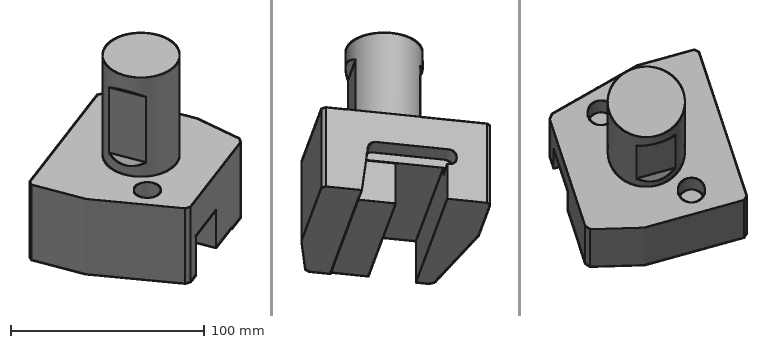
import cadquery as cq
import math


BLOCK_HALF_WIDTH = 42.5
BLOCK_BACK_Y = 41.0
BLOCK_FRONT_Y = -48.0
BLOCK_HEIGHT = 48.0
TAPER_ANGLE = 15.0
BACK_TAPER_START_X = 13.4
FRONT_TAPER_START_X = -9.7
CORNER_CHAMFER = 2.0

SHANK_DIAMETER = 40.0
SHANK_HEIGHT = 63.0
FLAT_DEPTH = 3.0
FLAT_NOTCH_BOTTOM_Z = 6.0
FLAT_NOTCH_TOP_Z = 53.5

HOLE_DIAMETER = 14.0
HOLE_DEPTH = 15.0
HOLE_X = 16.0
HOLE_Y = 27.7

SLOT_WALL_Y = -25.0
SLOT_WIDTH = 25.0
SLOT_CEILING_Z = -23.0

SEAT_LENGTH = 10.5
SEAT_CEILING_Z = -18.0
SEAT_MOUTH_Y = 20.0
SEAT_WALL_ANGLE = 7.0
SEAT_FILLET = 4.5
RELIEF_RADIUS = 4.5
RELIEF_OFFSET = 0.5

JAW_SETBACK = 0.5

UNDERSIDE_STEP = 0.8


def box_between(x_range, y_range, z_range):
    """Axis-aligned box spanning the given (low, high) ranges."""
    size = [high - low for low, high in (x_range, y_range, z_range)]
    corner = (x_range[0], y_range[0], z_range[0])
    return cq.Workplane("XY").box(*size, centered=False).translate(corner)


def make_block():
    """Block narrowing toward +X, with chamfers on its four outer corners."""
    slope = math.tan(math.radians(TAPER_ANGLE))
    back_right_y = BLOCK_BACK_Y - (BLOCK_HALF_WIDTH - BACK_TAPER_START_X) * slope
    front_right_y = BLOCK_FRONT_Y + (BLOCK_HALF_WIDTH - FRONT_TAPER_START_X) * slope
    outline = [
        (-BLOCK_HALF_WIDTH, BLOCK_FRONT_Y),
        (FRONT_TAPER_START_X, BLOCK_FRONT_Y),
        (BLOCK_HALF_WIDTH, front_right_y),
        (BLOCK_HALF_WIDTH, back_right_y),
        (BACK_TAPER_START_X, BLOCK_BACK_Y),
        (-BLOCK_HALF_WIDTH, BLOCK_BACK_Y),
    ]
    block = cq.Workplane("XY").polyline(outline).close().extrude(-BLOCK_HEIGHT)
    for side in ("<X", ">X"):
        block = block.faces(side).edges("|Z").chamfer(CORNER_CHAMFER)
    return block


def make_shank():
    """Cylindrical shank with a 45-degree-ended flat on the -Y and +Y sides."""
    radius = SHANK_DIAMETER / 2
    shank = cq.Workplane("XY").circle(radius).extrude(SHANK_HEIGHT)
    flat_y = radius - FLAT_DEPTH
    notch_outline = [
        (radius, FLAT_NOTCH_BOTTOM_Z),
        (flat_y, FLAT_NOTCH_BOTTOM_Z + FLAT_DEPTH),
        (flat_y, FLAT_NOTCH_TOP_Z - FLAT_DEPTH),
        (radius, FLAT_NOTCH_TOP_Z),
    ]
    notch = cq.Workplane("YZ").polyline(notch_outline).close().extrude(radius, both=True)
    return shank.cut(notch).cut(notch.mirror("XZ"))


def make_holes():
    """Cutter for the two blind holes in the top face."""
    centers = [(-HOLE_X, HOLE_Y), (HOLE_X, -HOLE_Y)]
    return cq.Workplane("XY").pushPoints(centers).circle(HOLE_DIAMETER / 2).extrude(-HOLE_DEPTH)


def make_slot(width):
    """Cutter running through the block along X, of the given width from the upright wall."""
    return box_between(
        (-BLOCK_HALF_WIDTH, BLOCK_HALF_WIDTH),
        (SLOT_WALL_Y, SLOT_WALL_Y + width),
        (-BLOCK_HEIGHT, SLOT_CEILING_Z),
    )


def make_seat(length):
    """Cutter for the tool seat: one upright wall with a round relief, one sloping wall."""
    seat_height = BLOCK_HEIGHT + SEAT_CEILING_Z
    ceiling_y = SEAT_MOUTH_Y - seat_height * math.tan(math.radians(SEAT_WALL_ANGLE))
    outline = [
        (SLOT_WALL_Y, -BLOCK_HEIGHT),
        (SEAT_MOUTH_Y, -BLOCK_HEIGHT),
        (ceiling_y, SEAT_CEILING_Z),
        (SLOT_WALL_Y - RELIEF_OFFSET, SEAT_CEILING_Z),
        (SLOT_WALL_Y - RELIEF_OFFSET, SEAT_CEILING_Z - RELIEF_RADIUS),
        (SLOT_WALL_Y, SEAT_CEILING_Z - RELIEF_RADIUS),
    ]
    end_plane = cq.Workplane("YZ", origin=(-BLOCK_HALF_WIDTH, 0, 0))
    seat = end_plane.polyline(outline).close().extrude(length)
    ceiling_corner = (-BLOCK_HALF_WIDTH, ceiling_y, SEAT_CEILING_Z)
    seat = seat.edges("|X").edges(cq.NearestToPointSelector(ceiling_corner)).fillet(SEAT_FILLET)
    relief_center = (SLOT_WALL_Y - RELIEF_OFFSET, SEAT_CEILING_Z - RELIEF_RADIUS)
    relief = end_plane.center(*relief_center).circle(RELIEF_RADIUS).extrude(length)
    return seat.union(relief)


def make_jaw_setback():
    """Cutter trimming the jaw below the slot ceiling, following the sloping seat wall."""
    return make_seat(SEAT_LENGTH + JAW_SETBACK).intersect(make_slot(SEAT_MOUTH_Y - SLOT_WALL_Y))


def make_underside_step():
    """Cutter recessing the underside between the slot and the line of the seat mouth."""
    return box_between(
        (-BLOCK_HALF_WIDTH + SEAT_LENGTH, BLOCK_HALF_WIDTH),
        (SLOT_WALL_Y + SLOT_WIDTH, SEAT_MOUTH_Y),
        (-BLOCK_HEIGHT, -BLOCK_HEIGHT + UNDERSIDE_STEP),
    )


cutters = [
    make_holes(),
    make_slot(SLOT_WIDTH),
    make_seat(SEAT_LENGTH),
    make_jaw_setback(),
    make_underside_step(),
]
body = make_block().union(make_shank())
for cutter in cutters:
    body = body.cut(cutter)
result = body